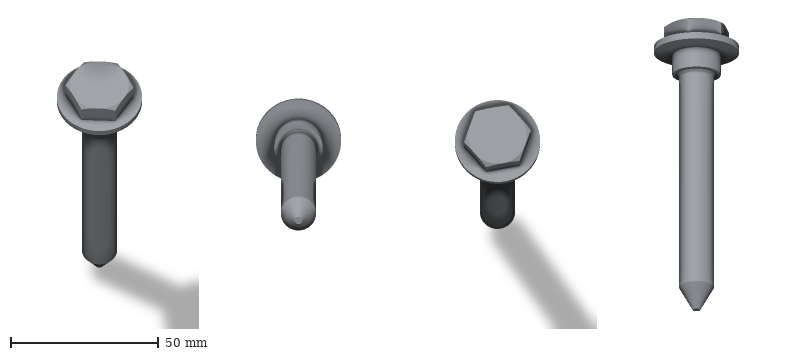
import cadquery as cq
import math

total_length = 102.0

across_flats = 20.0
head_sides = 6
across_corners = across_flats / math.cos(math.pi / head_sides)
head_height = 6.8
head_chamfer_angle = 30.0

flange_diameter = 29.0
flange_rim_height = 2.3
flange_cone_height = 0.85

collar_diameter = 16.5
collar_bottom_z = -17.0

shank_diameter = 12.0
neck_height = 0.9
neck_flare = 0.5
tip_diameter = 2.6
tip_height = 8.2


def hexagon_head():
    """Hexagonal prism, corners on the X axis, its top corners cut by a cone."""
    chamfer_drop = (across_corners - across_flats) / 2 * math.tan(math.radians(head_chamfer_angle))
    prism = (
        cq.Workplane("XY")
        .workplane(offset=-head_height)
        .polygon(head_sides, across_corners)
        .extrude(head_height)
    )
    chamfer_envelope = (
        cq.Workplane("XZ")
        .moveTo(0, 0)
        .lineTo(across_flats / 2, 0)
        .lineTo(across_corners / 2, -chamfer_drop)
        .lineTo(across_corners / 2, -head_height)
        .lineTo(0, -head_height)
        .close()
        .revolve(360, (0, 0, 0), (0, 1, 0))
    )
    return prism.intersect(chamfer_envelope)


def turned_body():
    """Flange, collar, shank and tip as one revolved profile."""
    flange_top_z = -head_height
    rim_bottom_z = flange_top_z - flange_rim_height
    flange_bottom_z = rim_bottom_z - flange_cone_height
    neck_bottom_z = collar_bottom_z - neck_height
    tip_bottom_z = -total_length
    tip_top_z = tip_bottom_z + tip_height

    flange_radius = flange_diameter / 2
    collar_radius = collar_diameter / 2
    shank_radius = shank_diameter / 2
    return (
        cq.Workplane("XZ")
        .moveTo(0, flange_top_z)
        .lineTo(flange_radius, flange_top_z)
        .lineTo(flange_radius, rim_bottom_z)
        .lineTo(collar_radius, flange_bottom_z)
        .lineTo(collar_radius, collar_bottom_z)
        .lineTo(shank_radius + neck_flare, collar_bottom_z)
        .lineTo(shank_radius, neck_bottom_z)
        .lineTo(shank_radius, tip_top_z)
        .lineTo(tip_diameter / 2, tip_bottom_z)
        .lineTo(0, tip_bottom_z)
        .close()
        .revolve(360, (0, 0, 0), (0, 1, 0))
    )


result = turned_body().union(hexagon_head())